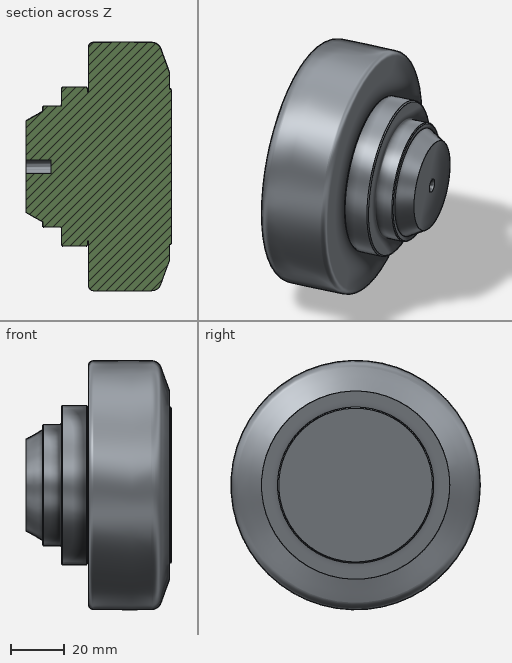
import cadquery as cq
import math

cone_end = 6.2
hub_end = 13.1
flange_end = 22.8
wheel_start = 23.1
tread_start = 25.1
tread_end = 46.5
wheel_end = 53.2
overall_length = 54.0

nose_radius = 34.0 / 2
cone_base_radius = 41.0 / 2
hub_radius = 45.0 / 2
flange_radius = 59.0 / 2
spacer_radius = 55.3 / 2
cap_radius = 57.8 / 2
wheel_radius = 92.4 / 2

hub_chamfer = 0.4
hub_root_fillet = 0.5
flange_chamfer = 0.5
cap_chamfer = 0.5
rear_fillet = 3.8
rear_cone_angle = math.radians(20)
tread_crown = 0.1

hole_diameter = 4.9
hole_depth = 9.2


def turned_step(profile, start, end, radius, front_chamfer, rear_chamfer=0):
    """Add a cylindrical step with chamfered ends to the half profile."""
    profile = profile.lineTo(start, radius - front_chamfer)
    profile = profile.lineTo(start + front_chamfer, radius)
    profile = profile.lineTo(end - rear_chamfer, radius)
    if rear_chamfer:
        profile = profile.lineTo(end, radius - rear_chamfer)
    return profile


def add_pin(profile):
    """Add the nose cone, hub, flange and thin spacer."""
    profile = profile.lineTo(0, nose_radius).lineTo(cone_end, cone_base_radius)
    profile = turned_step(profile, cone_end, hub_end - hub_root_fillet, hub_radius, hub_chamfer)
    profile = profile.radiusArc((hub_end, hub_radius + hub_root_fillet), -hub_root_fillet)
    profile = turned_step(profile, hub_end, flange_end, flange_radius, flange_chamfer, flange_chamfer)
    return profile.lineTo(flange_end, spacer_radius).lineTo(wheel_start, spacer_radius)


def add_wheel(profile):
    """Add the crowned tread with its rounded front edge and coned rear side."""
    edge_radius = wheel_radius - tread_crown
    front_fillet = tread_start - wheel_start
    cone_x = tread_end + rear_fillet * math.cos(rear_cone_angle)
    cone_radius = edge_radius - rear_fillet * (1 - math.sin(rear_cone_angle))
    cone_small_radius = cone_radius - (wheel_end - cone_x) / math.tan(rear_cone_angle)

    def rounded_corner(center_x, center_radius, fillet, angle):
        return (center_x + fillet * math.cos(angle), center_radius + fillet * math.sin(angle))

    front_middle = rounded_corner(
        tread_start, edge_radius - front_fillet, front_fillet, math.radians(135)
    )
    rear_middle = rounded_corner(
        tread_end, edge_radius - rear_fillet, rear_fillet, (math.pi / 2 + rear_cone_angle) / 2
    )
    profile = profile.lineTo(wheel_start, edge_radius - front_fillet)
    profile = profile.threePointArc(front_middle, (tread_start, edge_radius))
    profile = profile.threePointArc(
        ((tread_start + tread_end) / 2, wheel_radius), (tread_end, edge_radius)
    )
    profile = profile.threePointArc(rear_middle, (cone_x, cone_radius))
    return profile.lineTo(wheel_end, cone_small_radius)


def add_cap(profile):
    """Add the thin chamfered disc on the rear face."""
    profile = profile.lineTo(wheel_end, cap_radius)
    profile = profile.lineTo(overall_length - cap_chamfer, cap_radius)
    profile = profile.lineTo(overall_length, cap_radius - cap_chamfer)
    return profile.lineTo(overall_length, 0)


half_profile = add_cap(add_wheel(add_pin(cq.Workplane("XY").moveTo(0, 0))))
body = half_profile.close().revolve(360, (0, 0, 0), (1, 0, 0))
grease_hole = cq.Workplane("YZ").circle(hole_diameter / 2).extrude(hole_depth)

result = body.cut(grease_hole)